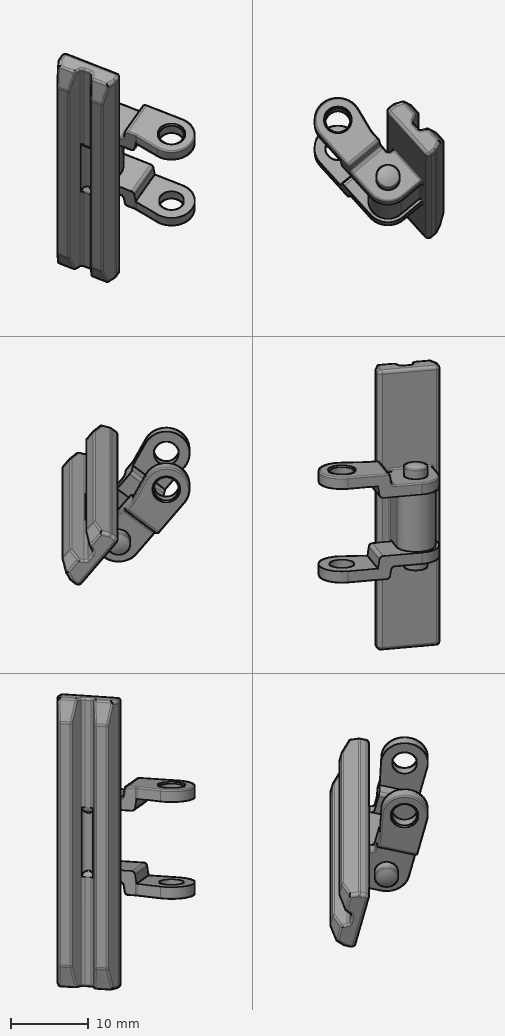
import cadquery as cq
import math


rail_length = 38.0
rail_half_width = 4.15
rail_depth = 3.5
side_start = 2.1
tooth_outer = 3.25
tooth_inner = 1.6
groove_depth = 1.95
groove_floor_half = 0.72
bevel_depth = 1.0
bevel_length = 3.0
bevel_round = 0.95
back_round = 0.55
side_round = 0.7
floor_round = 0.5
tip_round = 0.3
outer_end_round = 0.45
inner_end_round = 0.3

pocket_radius = 0.75
pocket_depth = 0.5
pocket_bed_half_length = 3.7
pocket_half_length = 4.55
pocket_curve_split = 0.3

total_width = 16.95
total_depth = 9.7
eye_radius = 3.0
eye_hole_radius = 1.6
eye_hole_chamfer = 0.2
eye_x = total_width - rail_half_width - eye_radius
axis_y = total_depth - eye_radius
pin_radius = 1.52
pin_edge_z = 6.85
pin_top_z = 7.2
barrel_radius = 2.55
foot_y = rail_depth - 0.38
foot_corner_round = 0.45
arm_front_y = 4.4
arm_slope_x = 5.78
arm_slope_round = 1.15
flange_inner_z = 3.95
flange_outer_z = 5.55
arm_inner_z = 5.6
arm_outer_z = 7.2
step_outer_x = (3.95, 4.2)
step_inner_x = (5.55, 5.8)
step_round = 0.5
rim_round = 0.2
root_round = 0.2


def nearest(body, points):
    """The edges of the body that lie closest to the points."""
    edges = [body.edges(cq.selectors.NearestToPointSelector(point)).val() for point in points]
    return body.newObject(edges)


def both_sides(*corners):
    return [(side * x, y, 0) for x, y in corners for side in (-1, 1)]


def prism(right_half):
    """Bar along Z with an outline mirrored about x = 0."""
    outline = right_half + [(-x, y) for x, y in reversed(right_half)]
    return cq.Workplane("XY").polyline(outline).close().extrude(rail_length / 2, both=True)


back_corner = (rail_half_width, rail_depth)
side_corner = (rail_half_width, side_start)
outer_tip = (tooth_outer, 0)
inner_tip = (tooth_inner, 0)
floor_corner = (groove_floor_half, groove_depth)


def round_sides(body):
    body = nearest(body, both_sides(back_corner)).fillet(back_round)
    return nearest(body, both_sides(side_corner)).fillet(side_round)


def make_envelope():
    """Outer hull of the rail, open toward -Y, with its end edges rounded."""
    slope = (rail_half_width - tooth_outer) / side_start
    margin = 1.15
    hull = prism([back_corner, side_corner, (tooth_outer - slope * margin, -margin)])
    hull = round_sides(hull)
    return hull.faces("|Z").edges("not(<Y)").fillet(outer_end_round)


def make_rail():
    rail = prism([back_corner, side_corner, outer_tip, inner_tip, floor_corner])
    rail = round_sides(rail)
    rail = nearest(rail, both_sides(floor_corner)).fillet(floor_round)

    end_z = rail_length / 2
    bevel_z = end_z - bevel_length
    bevel = (
        cq.Workplane("YZ")
        .polyline([(0, bevel_z), (0, end_z), (bevel_depth, end_z)])
        .close()
        .extrude(rail_half_width, both=True)
    )
    rail = rail.cut(bevel).cut(bevel.mirror("XY"))
    tooth_x = (tooth_outer + tooth_inner) / 2
    bevel_edges = [(x, 0, z) for x in (-tooth_x, tooth_x) for z in (-bevel_z, bevel_z)]
    rail = nearest(rail, bevel_edges).fillet(bevel_round)
    rail = nearest(rail, both_sides(outer_tip, inner_tip)).fillet(tip_round)

    tooth_zone = cq.selectors.BoxSelector(
        (-tooth_outer, 0, -rail_length), (tooth_outer, side_start, rail_length)
    )
    rail = rail.faces("|Z").edges(tooth_zone).fillet(inner_end_round)
    return rail.intersect(make_envelope())


def make_pocket():
    bottom_y = groove_depth + pocket_depth
    bed_axis_y = bottom_y - pocket_radius
    bed = (
        cq.Workplane("XY")
        .center(0, bed_axis_y)
        .circle(pocket_radius)
        .extrude(pocket_half_length, both=True)
    )
    split_y = bottom_y - pocket_curve_split * pocket_depth
    split_z = pocket_bed_half_length + pocket_curve_split * (pocket_half_length - pocket_bed_half_length)
    upper_half = (
        cq.Workplane("YZ")
        .moveTo(bottom_y, 0)
        .lineTo(bottom_y, pocket_bed_half_length)
        .tangentArcPoint((split_y, split_z), relative=False)
        .tangentArcPoint((groove_depth, pocket_half_length), relative=False)
        .lineTo(bed_axis_y, pocket_half_length)
        .lineTo(bed_axis_y, 0)
        .close()
        .extrude(pocket_radius, both=True)
    )
    return bed.intersect(upper_half.union(upper_half.mirror("XY")))


def make_bracket():
    """Upper bracket: flange on the rail, step, and arm with an eye."""
    dx = eye_x - arm_slope_x
    dy = axis_y - arm_front_y
    slope = math.asin(eye_radius / math.hypot(dx, dy)) - math.atan2(dy, dx)
    tangent = (eye_x - eye_radius * math.sin(slope), axis_y - eye_radius * math.cos(slope))
    plan = (
        cq.Workplane("XY")
        .moveTo(-eye_radius, foot_y)
        .lineTo(-eye_radius, axis_y)
        .radiusArc((0, total_depth), eye_radius)
        .lineTo(eye_x, total_depth)
        .threePointArc((eye_x + eye_radius, axis_y), tangent)
        .lineTo(arm_slope_x, arm_front_y)
        .lineTo(barrel_radius, arm_front_y)
        .lineTo(barrel_radius, foot_y)
        .close()
        .extrude(arm_outer_z)
    )
    plan = nearest(plan, [(arm_slope_x, arm_front_y, arm_outer_z / 2)]).fillet(arm_slope_round)
    plan = nearest(plan, [(barrel_radius, arm_front_y, arm_outer_z / 2)]).fillet(foot_corner_round)

    left = -rail_half_width
    right = total_width
    profile = (
        cq.Workplane("XZ")
        .polyline([
            (left, flange_inner_z),
            (step_inner_x[0], flange_inner_z),
            (step_inner_x[1], arm_inner_z),
            (right, arm_inner_z),
            (right, arm_outer_z),
            (step_outer_x[1], arm_outer_z),
            (step_outer_x[0], flange_outer_z),
            (left, flange_outer_z),
        ])
        .close()
        .extrude(-total_depth)
    )
    mid_y = total_depth / 2
    step_edges = [
        (step_inner_x[0], mid_y, flange_inner_z),
        (step_outer_x[0], mid_y, flange_outer_z),
        (step_outer_x[1], mid_y, arm_outer_z),
    ]
    profile = nearest(profile, step_edges).fillet(step_round)

    bracket = plan.intersect(profile)
    bracket = nearest(bracket, [((step_outer_x[1] + eye_x) / 2, total_depth, arm_outer_z)]).fillet(rim_round)
    hole = cq.Workplane("XY").center(eye_x, axis_y).circle(eye_hole_radius).extrude(arm_outer_z)
    bracket = bracket.cut(hole)
    bracket = nearest(bracket, [(eye_x, axis_y, arm_outer_z)]).chamfer(eye_hole_chamfer)

    head_rise = pin_top_z - pin_edge_z
    head_radius = (pin_radius**2 + head_rise**2) / (2 * head_rise)
    pin = (
        cq.Workplane("XZ", origin=(0, axis_y, 0))
        .moveTo(0, flange_inner_z)
        .lineTo(pin_radius, flange_inner_z)
        .lineTo(pin_radius, pin_edge_z)
        .radiusArc((0, pin_top_z), -head_radius)
        .close()
        .revolve(360, (0, 0), (0, 1))
    )
    pin = nearest(pin, [(0, axis_y, pin_edge_z)]).fillet(rim_round)
    return bracket.union(pin)


def make_barrel():
    return (
        cq.Workplane("XY")
        .moveTo(-barrel_radius, foot_y)
        .lineTo(-barrel_radius, axis_y)
        .radiusArc((barrel_radius, axis_y), barrel_radius)
        .lineTo(barrel_radius, foot_y)
        .close()
        .extrude(flange_inner_z, both=True)
    )


bracket = make_bracket()
rail = make_rail()
hinge = make_barrel().union(bracket).union(bracket.mirror("XY"))
part = rail.union(hinge)
root_zone = cq.selectors.BoxSelector(
    (-rail_half_width + back_round, rail_depth - root_round / 2, -arm_outer_z),
    (rail_half_width - back_round, rail_depth + root_round / 2, arm_outer_z),
)
part = part.edges(root_zone).fillet(root_round)
result = part.cut(make_pocket())